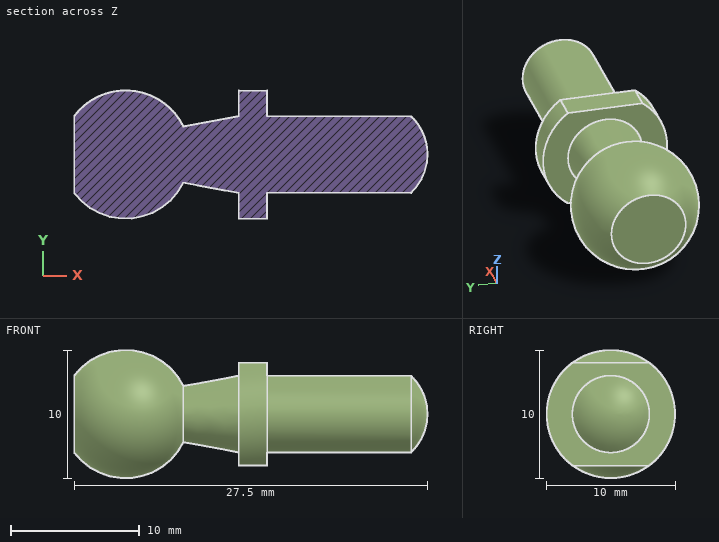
import cadquery as cq
import math

total_length = 27.5
ball_diameter = 10.0
shank_diameter = 6.0
neck_diameter = 4.4
flange_start = 12.8
flange_thickness = 2.23
flange_across_flats = 8.0
dome_height = 1.3

ball_radius = ball_diameter / 2
shank_radius = shank_diameter / 2
neck_radius = neck_diameter / 2

ball_flat_x = -math.sqrt(ball_radius**2 - shank_radius**2)
neck_x = math.sqrt(ball_radius**2 - neck_radius**2)
flange_x = ball_flat_x + flange_start
tip_x = ball_flat_x + total_length
dome_x = tip_x - dome_height

dome_radius = (shank_radius**2 + dome_height**2) / (2 * dome_height)
dome_half_angle = math.asin(shank_radius / dome_radius) / 2
dome_mid = (
    tip_x - dome_radius * (1 - math.cos(dome_half_angle)),
    dome_radius * math.sin(dome_half_angle),
)

stud = (
    cq.Workplane("XY")
    .moveTo(ball_flat_x, 0)
    .lineTo(ball_flat_x, shank_radius)
    .threePointArc((0, ball_radius), (neck_x, neck_radius))
    .lineTo(flange_x, shank_radius)
    .lineTo(dome_x, shank_radius)
    .threePointArc(dome_mid, (tip_x, 0))
    .close()
    .revolve(360, (0, 0, 0), (1, 0, 0))
)

flange_disc = (
    cq.Workplane("YZ", origin=(flange_x, 0, 0))
    .circle(ball_radius)
    .extrude(flange_thickness)
)
flats_envelope = (
    cq.Workplane("YZ", origin=(flange_x, 0, 0))
    .rect(ball_diameter, flange_across_flats)
    .extrude(flange_thickness)
)
flange = flange_disc.intersect(flats_envelope)

result = stud.union(flange)